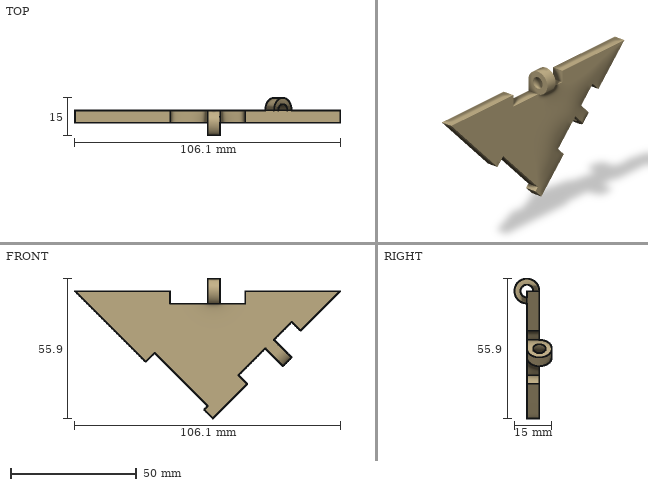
import cadquery as cq
import math

thickness = 5.0
leg_length = 75.0
long_edge = leg_length * math.sqrt(2)
half_long_edge = long_edge / 2

gap_length = 30.0
gap_depth = 5.0
top_gap_start = (long_edge - gap_length) / 2
right_gap_start = (leg_length - gap_length) / 2
left_gap_start = 40.0

trim_start = left_gap_start + gap_length
trim_length = leg_length - trim_start
trim_depth = 3.0

knuckle_radius = thickness
knuckle_width = 5.0
pin_diameter = 5.0
top_knuckle_start = half_long_edge - knuckle_width
right_knuckle_start = leg_length / 2 - knuckle_width

left_tip = (-half_long_edge, 0, 0)
right_tip = (half_long_edge, 0, 0)
backward = (0, 1, 0)
top_edge = cq.Plane(origin=right_tip, xDir=(-1, 0, 0), normal=backward)
left_edge = cq.Plane(origin=left_tip, xDir=(1, 0, -1), normal=backward)
right_edge = cq.Plane(origin=right_tip, xDir=(-1, 0, -1), normal=backward)


def triangle_plate():
    corners = [(-half_long_edge, 0), (half_long_edge, 0), (0, -half_long_edge)]
    return cq.Workplane("XZ").polyline(corners).close().extrude(-thickness)


def edge_block(edge, start, length, depth):
    """Block through the plate, reaching the given depth to both sides of an edge."""
    middle = start + length / 2
    return cq.Workplane(edge).center(middle, 0).rect(length, 2 * depth).extrude(thickness)


def knuckle(edge, start, pin_y):
    """Ring round a pin parallel to the edge, with a square tab reaching into the plate."""
    edge_point = edge.toWorldCoords((start, 0, 0))
    pin_start = (edge_point.x, pin_y, edge_point.z)
    section = cq.Workplane(cq.Plane(origin=pin_start, xDir=backward, normal=edge.xDir))
    ring = section.circle(knuckle_radius).extrude(knuckle_width)
    pin_hole = section.circle(pin_diameter / 2).extrude(knuckle_width)
    tab = edge_block(edge, start, knuckle_width, gap_depth).intersect(triangle_plate())
    return ring.union(tab).cut(pin_hole)


plate = triangle_plate()
plate = plate.cut(edge_block(top_edge, top_gap_start, gap_length, gap_depth))
plate = plate.cut(edge_block(right_edge, right_gap_start, gap_length, gap_depth))
plate = plate.cut(edge_block(left_edge, left_gap_start, gap_length, gap_depth))
plate = plate.cut(edge_block(left_edge, trim_start, trim_length, trim_depth))

top_knuckle = knuckle(top_edge, top_knuckle_start, 0)
right_knuckle = knuckle(right_edge, right_knuckle_start, thickness)

result = plate.union(top_knuckle).union(right_knuckle)